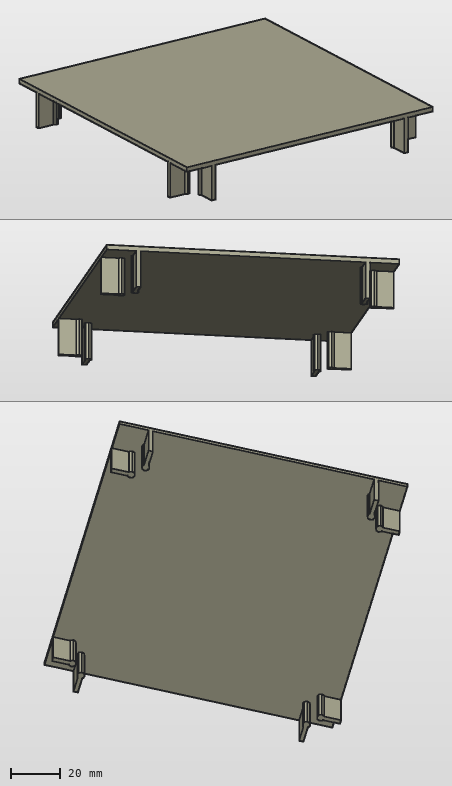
import cadquery as cq

plate_side = 120.0
plate_thickness = 2.0

leg_height = 15.0
web_thickness = 1.85
web_inset = 13.0
post_sides = 8
post_corner_diameter = 3.15
post_inset = 8.23

corner_count = 4
corner_angle = 360.0 / corner_count
half_side = plate_side / 2
post_x = -half_side + post_inset
web_y = -half_side + web_inset


def make_plate():
    plate = cq.Workplane("XY").workplane(offset=leg_height)
    return plate.rect(plate_side, plate_side).extrude(plate_thickness)


def make_leg():
    """Leg near the (-X, -Y) corner, with its web along X from the -X edge to the post axis."""
    web_middle_x = -half_side + post_inset / 2
    web = cq.Workplane("XY").center(web_middle_x, web_y).rect(post_inset, web_thickness).extrude(leg_height)
    post = cq.Workplane("XY").center(post_x, web_y).polygon(post_sides, post_corner_diameter).extrude(leg_height)
    return web.union(post)


def turn_about_z(body, angle):
    return body.rotate((0, 0, 0), (0, 0, 1), angle)


def make_corner_pair():
    """Two legs mirrored about the corner diagonal, one on each edge of the (-X, -Y) corner."""
    leg = make_leg()
    twin = turn_about_z(leg.mirror("XZ"), corner_angle)
    return leg.union(twin)


result = make_plate()
corner_pair = make_corner_pair()
for corner in range(corner_count):
    result = result.union(turn_about_z(corner_pair, corner * corner_angle))